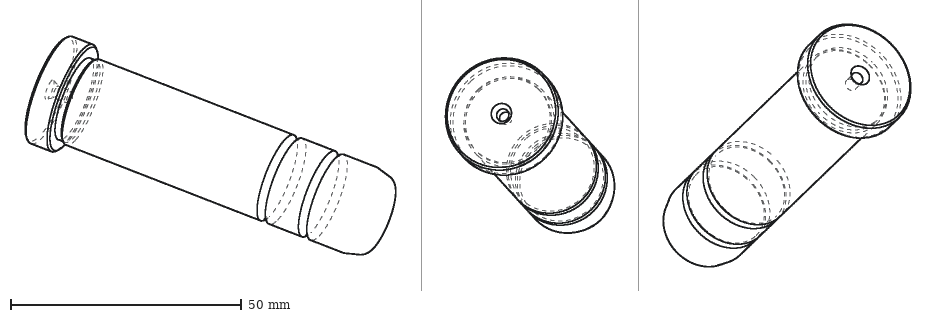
import cadquery as cq
import math

total_length = 80.0

head_radius = 12.5
head_length = 6.0
head_chamfer = 0.5

body_radius = 10.0
body_start = 8.0
undercut_radius = 9.5

groove_centres = (56.0, 66.0)
groove_width = 2.0
groove_depth = 0.7

taper_start = 75.0
taper_angle = math.radians(15)
tip_fillet = 2.2

centre_mouth_radius = 2.2
centre_drill_radius = 1.4
centre_sink_half_angle = math.radians(30)
centre_drill_length = 3.2
drill_tip_half_angle = math.radians(59)


def revolve_about_x(outline):
    """Turn a closed half-profile, drawn above the X axis, into a solid."""
    return outline.close().revolve(360, (0, 0, 0), (1, 0, 0))


def pillar():
    """Head, undercut behind it, grooved body and tapered, rounded tip."""
    tip_radius = body_radius - (total_length - taper_start) * math.tan(taper_angle)
    outline = (
        cq.Workplane("XY")
        .lineTo(0, head_radius - head_chamfer)
        .lineTo(head_chamfer, head_radius)
        .lineTo(head_length - head_chamfer, head_radius)
        .lineTo(head_length, head_radius - head_chamfer)
        .lineTo(head_length, undercut_radius)
        .lineTo(body_start - (body_radius - undercut_radius), undercut_radius)
        .lineTo(body_start, body_radius)
    )
    half_width = groove_width / 2
    for centre in groove_centres:
        outline = outline.lineTo(centre - half_width, body_radius).threePointArc(
            (centre, body_radius - groove_depth), (centre + half_width, body_radius)
        )
    outline = (
        outline.lineTo(taper_start, body_radius)
        .lineTo(total_length, tip_radius)
        .lineTo(total_length, 0)
    )
    return revolve_about_x(outline).faces(">X").edges().fillet(tip_fillet)


def centre_hole():
    """Countersunk centre hole with a conical drill tip, in the head face."""
    sink_depth = (centre_mouth_radius - centre_drill_radius) / math.tan(centre_sink_half_angle)
    drill_end = sink_depth + centre_drill_length
    drill_tip = drill_end + centre_drill_radius / math.tan(drill_tip_half_angle)
    outline = (
        cq.Workplane("XY")
        .lineTo(0, centre_mouth_radius)
        .lineTo(sink_depth, centre_drill_radius)
        .lineTo(drill_end, centre_drill_radius)
        .lineTo(drill_tip, 0)
    )
    return revolve_about_x(outline)


result = pillar().cut(centre_hole())